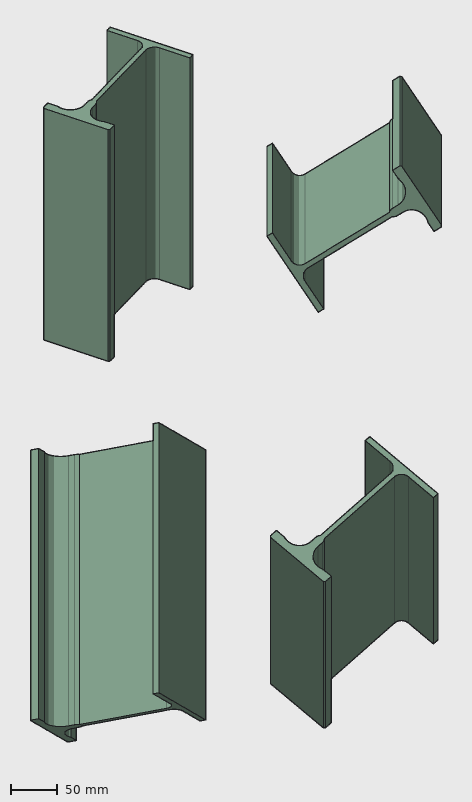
import cadquery as cq
import math

length = 304.8
depth = 163.5

back_flange_width = 101.5
back_flange_thickness = 7.0
back_fillet_radius = 10.7
web_thickness = 5.8

front_flange_width = 81.7
front_flange_thickness = 10.7
front_edge_chamfer = 1.5
stem_thickness = 9.8
shoulder_start = 33.8
shoulder_end = 39.0
trough_start = 26.8
trough_radius = 17.5

half_web = web_thickness / 2
half_stem = stem_thickness / 2
half_front = front_flange_width / 2
half_back = back_flange_width / 2
back_flange_face = depth - back_flange_thickness

shoulder_height = shoulder_end - shoulder_start
shoulder_step = half_stem - half_web
shoulder_radius = (shoulder_height**2 + shoulder_step**2) / (2 * shoulder_step)

trough_center_x = half_stem + trough_radius
trough_rise = trough_start - front_flange_thickness
trough_end_x = trough_center_x + math.sqrt(trough_radius**2 - trough_rise**2)


def half_profile():
    """Right half of the cross-section, closed along the symmetry axis."""
    trough_bottom = (trough_center_x, trough_start - trough_radius)
    return (
        cq.Workplane("XY")
        .lineTo(half_front - front_edge_chamfer, 0)
        .lineTo(half_front, front_edge_chamfer)
        .lineTo(half_front, front_flange_thickness)
        .lineTo(trough_end_x, front_flange_thickness)
        .threePointArc(trough_bottom, (half_stem, trough_start))
        .lineTo(half_stem, shoulder_start)
        .radiusArc((half_web, shoulder_end), -shoulder_radius)
        .lineTo(half_web, back_flange_face - back_fillet_radius)
        .radiusArc((half_web + back_fillet_radius, back_flange_face), back_fillet_radius)
        .lineTo(half_back, back_flange_face)
        .lineTo(half_back, depth)
        .lineTo(0, depth)
        .close()
    )


right_half = half_profile().extrude(length)
left_half = right_half.mirror("YZ")
result = right_half.union(left_half).clean()